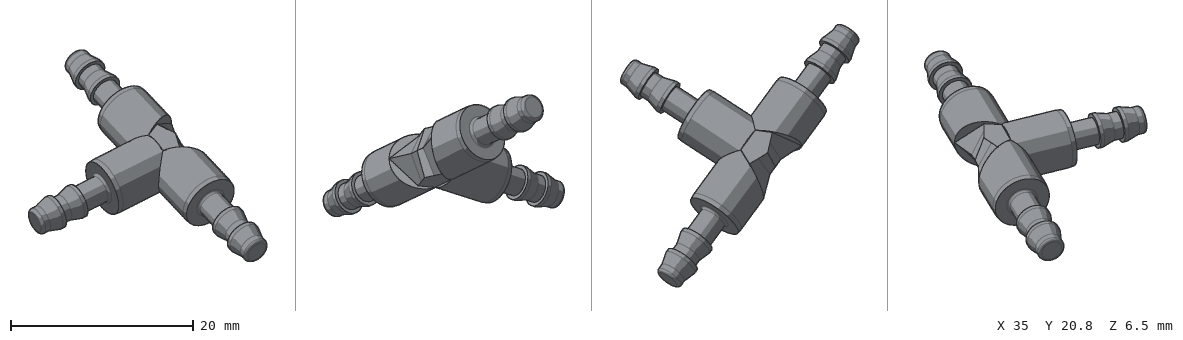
import cadquery as cq
import math

REACH = 17.5
BODY_RADIUS = 3.25
BODY_END = 8.55
BODY_TAPER_LENGTH = 0.55
BODY_TAPER_DEPTH = 0.07
NOZZLE_RADIUS = 1.55
ROOT_FILLET = 0.28
TIP_ROUND = 0.35
BARB_RADIUS = 1.95
BARB_LAND = 0.45
BARB_SLOPE = 1.4
BARB_STARTS = (11.8, 14.65)

HUB_HEIGHT = 2.95
HUB_BACK = 2.28
HUB_BACK_HALF_WIDTH = 1.05
HUB_FOOT = 2.45
NOTCH_TOP_HALF_WIDTH = 3.68
FLAT_SHOULDER_Y = 0.3
FLAT_PEAK_Y = 1.22
NOTCH_BOTTOM = math.sqrt(BODY_RADIUS**2 - HUB_HEIGHT**2)


def make_branch():
    """One body with its barbed nozzle, revolved about Y and pointing to -Y."""
    arc = math.sqrt(0.5)
    profile = (
        cq.Workplane("XY")
        .moveTo(0, 0)
        .lineTo(BODY_RADIUS, 0)
        .lineTo(BODY_RADIUS, -(BODY_END - BODY_TAPER_LENGTH))
        .lineTo(BODY_RADIUS - BODY_TAPER_DEPTH, -BODY_END)
        .lineTo(NOZZLE_RADIUS + ROOT_FILLET, -BODY_END)
        .threePointArc(
            (NOZZLE_RADIUS + ROOT_FILLET * (1 - arc), -BODY_END - ROOT_FILLET * (1 - arc)),
            (NOZZLE_RADIUS, -BODY_END - ROOT_FILLET),
        )
    )
    for start in BARB_STARTS:
        crest_end = start + BARB_LAND
        profile = (
            profile.lineTo(NOZZLE_RADIUS, -start)
            .lineTo(BARB_RADIUS, -start)
            .lineTo(BARB_RADIUS, -crest_end)
            .lineTo(NOZZLE_RADIUS, -(crest_end + BARB_SLOPE))
        )
    return (
        profile.lineTo(NOZZLE_RADIUS, -(REACH - TIP_ROUND))
        .threePointArc(
            (NOZZLE_RADIUS - TIP_ROUND * (1 - arc), -REACH + TIP_ROUND * (1 - arc)),
            (NOZZLE_RADIUS - TIP_ROUND, -REACH),
        )
        .lineTo(0, -REACH)
        .close()
        .revolve(360, (0, 0, 0), (0, 1, 0))
    )


def notch_half_width(y):
    """Half width of the wedge-shaped notch between the bodies at a given Y."""
    slope = (NOTCH_TOP_HALF_WIDTH - NOTCH_BOTTOM) / (BODY_RADIUS + NOTCH_BOTTOM)
    return NOTCH_BOTTOM + slope * (y + NOTCH_BOTTOM)


def mirrored(right_points):
    """Close a right-hand chain of points with its mirror image across X = 0."""
    return right_points + [(-x, y) for x, y in reversed(right_points) if x > 0]


def make_notch():
    top = BODY_RADIUS + 0.35
    outline = mirrored([(NOTCH_BOTTOM, -NOTCH_BOTTOM), (notch_half_width(top), top)])
    return cq.Workplane("XY").polyline(outline).close().extrude(top, both=True)


def make_hub():
    """Faceted core tapering from mid height to a pentagonal flat on both sides."""
    middle = mirrored([
        (0, HUB_BACK),
        (HUB_BACK_HALF_WIDTH, HUB_BACK),
        (NOTCH_TOP_HALF_WIDTH, BODY_RADIUS),
        (HUB_FOOT, -HUB_FOOT),
    ])
    shoulder = notch_half_width(FLAT_SHOULDER_Y)
    flat = mirrored([
        (0, FLAT_PEAK_Y),
        (shoulder / 2, (FLAT_PEAK_Y + FLAT_SHOULDER_Y) / 2),
        (shoulder, FLAT_SHOULDER_Y),
        (NOTCH_BOTTOM, -NOTCH_BOTTOM),
    ])
    upper = (
        cq.Workplane("XY")
        .polyline(middle)
        .close()
        .workplane(offset=HUB_HEIGHT)
        .polyline(flat)
        .close()
        .loft(ruled=True)
    )
    return upper.union(upper.mirror("XY"))


branch = make_branch()
bodies = branch
for angle in (-90, 90):
    bodies = bodies.union(branch.rotate((0, 0, 0), (0, 0, 1), angle))

result = bodies.cut(make_notch()).union(make_hub())